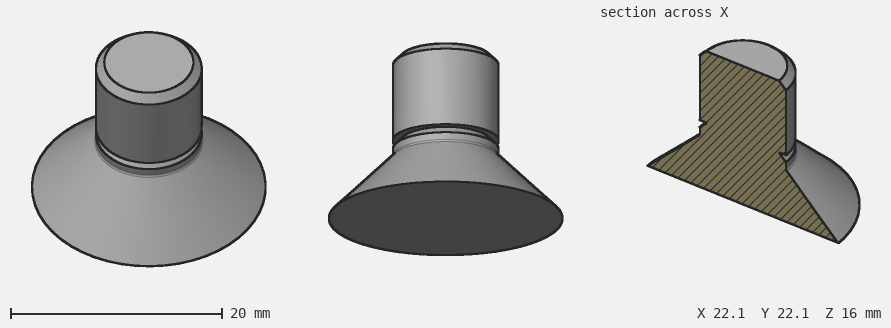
import cadquery as cq
import math

base_diameter = 22.07
total_height = 16.0
shank_diameter = 10.0
chamfer = 0.8
shank_bottom = 7.7
root_fillet = 0.35

base_radius = base_diameter / 2
shank_radius = shank_diameter / 2
bevel_radius = shank_radius - chamfer
collar_top = shank_bottom - chamfer
cone_height = base_radius - shank_radius

flank_angle = math.radians(45)
tangent_length = root_fillet * math.tan(flank_angle / 2)
fillet_start = (
    shank_radius + tangent_length * math.sin(flank_angle),
    cone_height - tangent_length * math.cos(flank_angle),
)
fillet_end = (shank_radius, cone_height + tangent_length)
fillet_middle = (
    shank_radius + root_fillet * (1 - math.cos(flank_angle / 2)),
    fillet_end[1] - root_fillet * math.sin(flank_angle / 2),
)

half_section = (
    cq.Workplane("XZ")
    .moveTo(0, 0)
    .lineTo(base_radius, 0)
    .lineTo(*fillet_start)
    .threePointArc(fillet_middle, fillet_end)
    .lineTo(shank_radius, collar_top)
    .lineTo(bevel_radius, shank_bottom)
    .lineTo(shank_radius, shank_bottom)
    .lineTo(shank_radius, total_height - chamfer)
    .lineTo(bevel_radius, total_height)
    .lineTo(0, total_height)
    .close()
)

result = half_section.revolve(360, (0, 0, 0), (0, 1, 0))